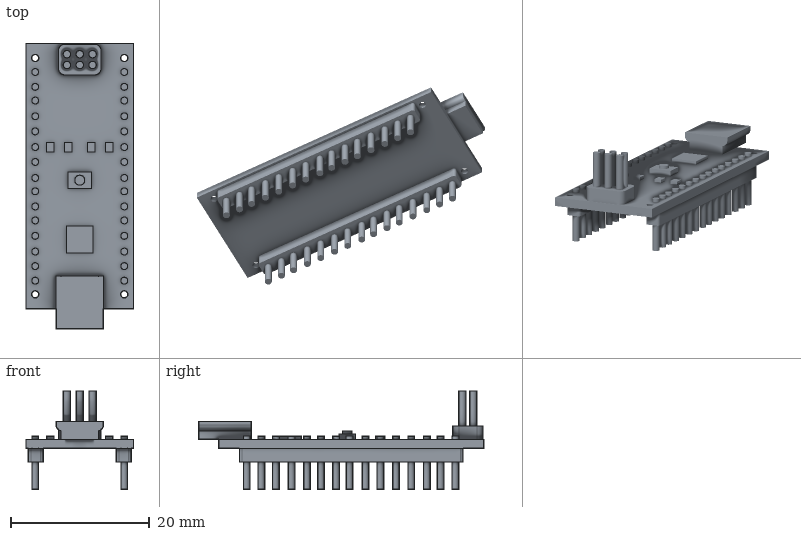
import cadquery as cq

total_length = 41.1

board_width = 15.55
board_length = 38.25
board_thickness = 1.27
mount_hole_diameter = 1.0
mount_hole_inset = 2.1

row_offset = 6.4
pin_diameter = 1.0
pin_stub_height = 0.5
pin_reach_below_rail = 3.95
pin_stations = [4.1, 6.25, 8.22, 10.5, 12.65, 14.92, 17.05, 19.35, 21.3, 23.47, 25.5, 27.7, 29.95, 32.05, 34.15]

rail_offset = 6.35
rail_width = 2.18
rail_height = 1.97
rail_end_inset = 3.0
rail_corner_radius = 0.4

header_width = 6.13
header_depth = 4.4
header_height = 1.97
header_corner_radius = 0.9
header_rear_gap = 0.12
header_pin_diameter = 1.05
header_pin_top = 7.0
header_pin_columns = 3
header_pin_rows = 2
header_pitch_x = 1.85
header_pitch_y = 1.55

led_width = 1.05
led_depth = 1.35
led_height = 0.5
led_station = 14.95
led_offsets = [1.7, 4.25]

button_width = 3.37
button_depth = 2.4
button_height = 0.82
button_station = 19.7
plunger_diameter = 1.45
plunger_top = 1.25

chip_side = 3.85
chip_height = 0.5
chip_station = 28.25

usb_width = 6.82
usb_length = 7.6
usb_top = 2.6
usb_shell_bottom = 1.25
usb_shell_radius = 0.85
usb_foot_width = 5.35

SIDES = (-1, 1)


def block(width, depth, bottom, top, x, station):
    """Upright box centred at x and at the given distance from the rear edge."""
    return (
        cq.Workplane("XY", origin=(x, -station, bottom))
        .rect(width, depth)
        .extrude(top - bottom)
    )


def post(diameter, bottom, top, x, station):
    """Upright cylinder centred at x and at the given distance from the rear edge."""
    return (
        cq.Workplane("XY", origin=(x, -station, bottom))
        .circle(diameter / 2)
        .extrude(top - bottom)
    )


def make_board():
    board_middle = board_length / 2
    board = block(board_width, board_length, -board_thickness, 0, 0, board_middle)
    for side in SIDES:
        for station in (mount_hole_inset, board_length - mount_hole_inset):
            hole = post(mount_hole_diameter, -board_thickness, 0, side * row_offset, station)
            board = board.cut(hole)
    return board


def make_pin_row(side):
    rail_bottom = -board_thickness - rail_height
    rail_length = board_length - 2 * rail_end_inset
    row = block(rail_width, rail_length, rail_bottom, -board_thickness, side * rail_offset, board_length / 2)
    row = row.edges("|Z").fillet(rail_corner_radius)
    pin_bottom = rail_bottom - pin_reach_below_rail
    for station in pin_stations:
        row = row.union(post(pin_diameter, pin_bottom, pin_stub_height, side * row_offset, station))
    return row


def make_programming_header():
    station = header_rear_gap + header_depth / 2
    header = block(header_width, header_depth, 0, header_height, 0, station)
    header = header.edges("|Z").fillet(header_corner_radius)
    pins = (
        cq.Workplane("XY", origin=(0, -station, 0))
        .rarray(header_pitch_x, header_pitch_y, header_pin_columns, header_pin_rows)
        .circle(header_pin_diameter / 2)
        .extrude(header_pin_top)
    )
    return header.union(pins)


def make_button():
    base = block(button_width, button_depth, 0, button_height, 0, button_station)
    return base.union(post(plunger_diameter, 0, plunger_top, 0, button_station))


def make_usb_socket():
    station = total_length - usb_length / 2
    shell = block(usb_width, usb_length, usb_shell_bottom, usb_top, 0, station)
    shell = shell.edges("|Y and <Z").fillet(usb_shell_radius)
    foot_top = usb_shell_bottom + usb_shell_radius
    foot = block(usb_foot_width, usb_length, 0, foot_top, 0, station)
    return shell.union(foot)


result = make_board()
for side in SIDES:
    result = result.union(make_pin_row(side))
    for offset in led_offsets:
        led = block(led_width, led_depth, 0, led_height, side * offset, led_station)
        result = result.union(led)
result = result.union(make_programming_header())
result = result.union(make_button())
result = result.union(block(chip_side, chip_side, 0, chip_height, 0, chip_station))
result = result.union(make_usb_socket())